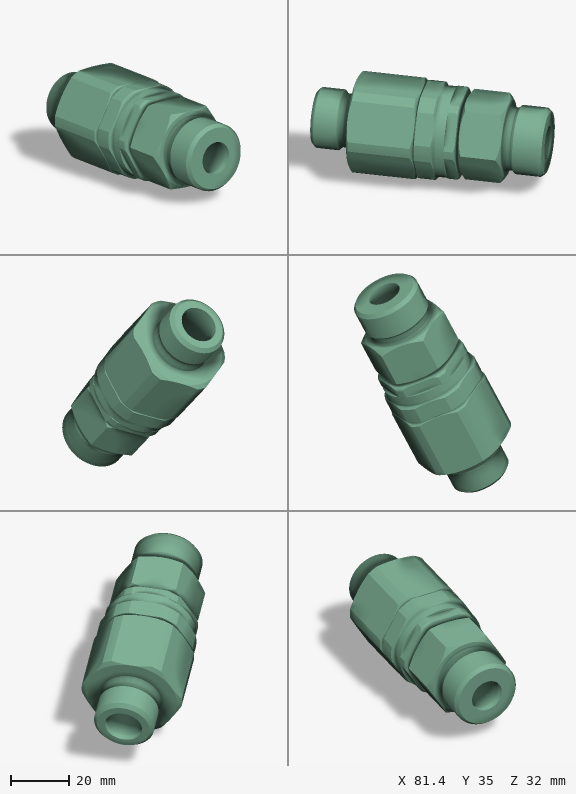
import cadquery as cq
import math


TOTAL_LENGTH = 81.4

INLET_RADIUS = 10.5
INLET_CHAMFER = 1.3
INLET_THREAD_END = 9.2
INLET_BACK_CHAMFER = 0.25
NECK_RADIUS = 9.3
NECK_START = 10.8
NECK_END = 11.55

BODY_START = 14.0
BODY_END = 37.4
NUT_START = 37.9
NUT_END = 44.2
RING_END = 48.25
LOCK_END = 51.9
SWIVEL_START = 52.65
SWIVEL_END = 67.6

BODY_FLATS = 32.0
BODY_CORNERS = 35.0
BODY_FRONT_CHAMFER = 0.8
BODY_BACK_CHAMFER = 0.9
NUT_CORNERS = 33.9
NUT_CHAMFER = 0.6
NUT_FILLET_LENGTH = 0.3
LOCK_FLATS = 29.1
LOCK_CORNERS = 32.1
LOCK_ROUNDING = 1.0
SWIVEL_FLATS = 27.0
SWIVEL_CHAMFER = 1.3
SWIVEL_FACE_RADIUS = 13.3

GAP_RADIUS = 15.3
RING_RADIUS = 15.8
SWIVEL_STEM_RADIUS = 8.7

OUTLET_RADIUS = 12.0
OUTLET_CHAMFER = 1.3
OUTLET_END_RADIUS = 10.9
OUTLET_NECK_RADIUS = 10.9
OUTLET_ROOT_RADIUS = 11.55
OUTLET_NECK_START = 68.6
OUTLET_NECK_END = 70.3
OUTLET_THREAD_START = 71.4

INLET_BORE_RADIUS = 6.5
BORE_RADIUS = 5.8
BORE_STEP_START = BODY_END


def tangent_arc_middle(tangent_end, free_end):
    """Middle point of the arc that runs parallel to X at tangent_end and stops at free_end."""
    run = free_end[0] - tangent_end[0]
    rise = free_end[1] - tangent_end[1]
    arc_radius = (run**2 + rise**2) / (2 * rise)
    half_sweep = math.atan2(abs(rise), abs(run))
    middle_run = math.copysign(arc_radius * math.sin(half_sweep), run)
    middle_rise = arc_radius * (1 - math.cos(half_sweep))
    return (tangent_end[0] + middle_run, tangent_end[1] + middle_rise)


def revolve_outline(outline):
    """Revolve an outline that ends on the X axis about that axis."""
    return outline.close().revolve(360, (0, 0), (1, 0))


def revolve_profile(points):
    """Solid of revolution about X under a chain of (x, radius) points."""
    start = (points[0][0], 0)
    end = (points[-1][0], 0)
    return revolve_outline(cq.Workplane("XY").polyline([start, *points, end]))


def cylinder(start, end, radius):
    return revolve_profile([(start, radius), (end, radius)])


def hexagon(flats, start, end, envelope):
    """Hexagonal prism with corners on +Y and -Y, trimmed by a solid of revolution."""
    corner_diameter = flats / math.cos(math.pi / 6)
    prism = cq.Workplane("YZ", origin=(start, 0, 0)).polygon(6, corner_diameter).extrude(end - start)
    return prism.intersect(envelope)


def inlet_spigot():
    back_edge = (INLET_THREAD_END + INLET_BACK_CHAMFER, INLET_RADIUS - INLET_BACK_CHAMFER)
    neck_edge = (NECK_START, NECK_RADIUS)
    return revolve_outline(
        cq.Workplane("XY")
        .lineTo(0, INLET_RADIUS - INLET_CHAMFER)
        .lineTo(INLET_CHAMFER, INLET_RADIUS)
        .lineTo(INLET_THREAD_END, INLET_RADIUS)
        .lineTo(*back_edge)
        .threePointArc(tangent_arc_middle(neck_edge, back_edge), neck_edge)
        .lineTo(NECK_END, NECK_RADIUS)
        .lineTo(BODY_START, INLET_RADIUS)
        .lineTo(BODY_START, 0)
    )


def body_hexagon():
    envelope = revolve_profile([
        (BODY_START, BODY_FLATS / 2),
        (BODY_START + BODY_FRONT_CHAMFER, BODY_CORNERS / 2),
        (BODY_END - BODY_BACK_CHAMFER, BODY_CORNERS / 2),
        (BODY_END, BODY_FLATS / 2),
    ])
    return hexagon(BODY_FLATS, BODY_START, BODY_END, envelope)


def nut_and_ring():
    """Nut whose back chamfer flows through a concave fillet into the round ring."""
    chamfer_end = (NUT_END, BODY_FLATS / 2)
    ring_start = (NUT_END + NUT_FILLET_LENGTH, RING_RADIUS)
    envelope = revolve_outline(
        cq.Workplane("XY")
        .moveTo(NUT_START, 0)
        .lineTo(NUT_START, NUT_CORNERS / 2)
        .lineTo(NUT_END - NUT_CHAMFER, NUT_CORNERS / 2)
        .lineTo(*chamfer_end)
        .threePointArc(tangent_arc_middle(ring_start, chamfer_end), ring_start)
        .lineTo(RING_END, RING_RADIUS)
        .lineTo(RING_END, 0)
    )
    return hexagon(BODY_FLATS, NUT_START, RING_END, envelope)


def lock_hexagon():
    corner_radius = LOCK_CORNERS / 2
    envelope = cylinder(RING_END, LOCK_END, corner_radius).faces(">X").edges().fillet(LOCK_ROUNDING)
    return hexagon(LOCK_FLATS, RING_END, LOCK_END, envelope)


def swivel_hexagon():
    corner_radius = SWIVEL_FLATS / 2 / math.cos(math.pi / 6)
    envelope = revolve_profile([
        (SWIVEL_START, SWIVEL_FACE_RADIUS),
        (SWIVEL_START + SWIVEL_CHAMFER, corner_radius),
        (SWIVEL_END - SWIVEL_CHAMFER, corner_radius),
        (SWIVEL_END, SWIVEL_FLATS / 2),
    ])
    return hexagon(SWIVEL_FLATS, SWIVEL_START, SWIVEL_END, envelope)


def outlet_spigot():
    root = (SWIVEL_END, OUTLET_ROOT_RADIUS)
    neck_edge = (OUTLET_NECK_START, OUTLET_NECK_RADIUS)
    return revolve_outline(
        cq.Workplane("XY")
        .moveTo(SWIVEL_END, 0)
        .lineTo(*root)
        .threePointArc(tangent_arc_middle(neck_edge, root), neck_edge)
        .lineTo(OUTLET_NECK_END, OUTLET_NECK_RADIUS)
        .lineTo(OUTLET_THREAD_START, OUTLET_RADIUS)
        .lineTo(TOTAL_LENGTH - OUTLET_CHAMFER, OUTLET_RADIUS)
        .lineTo(TOTAL_LENGTH, OUTLET_END_RADIUS)
        .lineTo(TOTAL_LENGTH, 0)
    )


def bore():
    step = INLET_BORE_RADIUS - BORE_RADIUS
    return revolve_profile([
        (0, INLET_BORE_RADIUS),
        (BORE_STEP_START, INLET_BORE_RADIUS),
        (BORE_STEP_START + step, BORE_RADIUS),
        (TOTAL_LENGTH, BORE_RADIUS),
    ])


result = (
    inlet_spigot()
    .union(body_hexagon())
    .union(cylinder(BODY_END, NUT_START, GAP_RADIUS))
    .union(nut_and_ring())
    .union(lock_hexagon())
    .union(cylinder(LOCK_END, SWIVEL_START, SWIVEL_STEM_RADIUS))
    .union(swivel_hexagon())
    .union(outlet_spigot())
    .cut(bore())
)